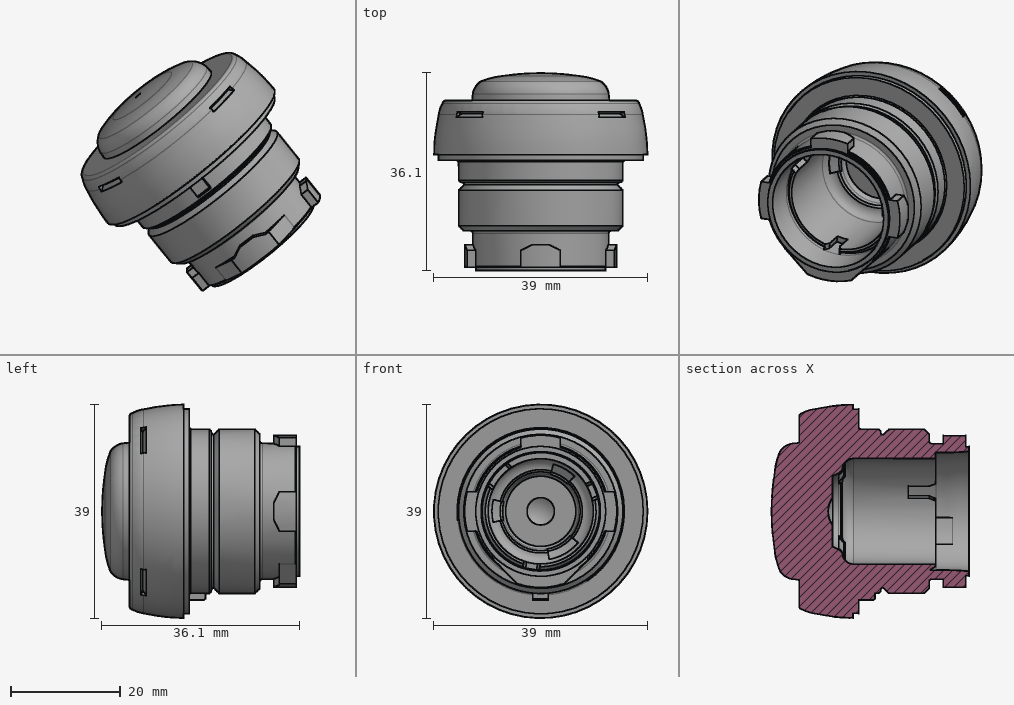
import cadquery as cq
import math


CAP_BASE_R = 12.55
CAP_SIDE_R = 12.42
CAP_SIDE_Y = 12.2
CAP_SHOULDER_R = 10.9
CAP_SHOULDER_Y = 14.45
CAP_BULGE = (11.95, 13.4)
CAP_TOP_Y = 15.95
CAP_CROWN_R = 6.8
CAP_CROWN_Y = 15.45
CAP_CROWN_MIDDLE = (3.4, 15.825)
CAP_SLOPE = (9.0, 15.06)

BEZEL_R = 19.5
BEZEL_BOTTOM_Y = 1.06
BEZEL_TOP_Y = 10.95
BEZEL_TOP_R = 17.25
BEZEL_ROUND_R = 17.95
BEZEL_ROUND_Y = 10.4
BEZEL_ROUND = (17.7, 10.8)
BEZEL_BAND_R = 18.62
BEZEL_BAND_Y = 8.4
BEZEL_FLANK = (19.25, 4.7)
BEZEL_SHOULDER = (18.38, 9.4)
FLANGE_R = 18.7
BEZEL_SLOT_SWEEP = 20.4
BEZEL_SLOT_MOUTH_R = 18.7
BEZEL_SLOT_TOP_Y = 8.94
BEZEL_SLOT_ROOT_Y = 8.5
BEZEL_SLOT_BOTTOM_Y = 7.86
BEZEL_SLOT_ROOT_R = 17.6
BEZEL_SLOT_COUNT = 4

BODY_R = 15.0
SEAT_FILLET = 0.26
UPPER_BAND_Y = -3.6
UPPER_BAND_CHAMFER = 0.4
GROOVE_FILLET = 0.45
GROOVE_R = 14.0
GROOVE_TOP_Y = UPPER_BAND_Y - UPPER_BAND_CHAMFER
GROOVE_BOTTOM_Y = GROOVE_TOP_Y - GROOVE_FILLET
LOWER_BAND_TOP_Y = GROOVE_BOTTOM_Y - (BODY_R - GROOVE_R)
LOWER_BAND_BOTTOM_Y = -11.9
BODY_END_Y = -12.85
BODY_END_R = BODY_R - (LOWER_BAND_BOTTOM_Y - BODY_END_Y)

NECK_R = 12.42
NECK_FILLET = 0.42
NECK_END_Y = -19.5
RIM_CHAMFER = 0.2
RIM_R = 11.85
RIM_END_Y = -20.1

LUG_R = 13.87
LUG_HALF_WIDTH = 3.6
LUG_NOSE_HALF_WIDTH = 1.5
LUG_TOP_Y = -15.35
LUG_SHOULDER_Y = -16.4
LUG_ROOT_R = 11.5
KEY_LUG_FLANK_DISTANCE = 12.37

TAB_WIDTH = 2.82
TAB_REACH_R = 16.2
TAB_LENGTH = 2.95
TAB_CHAMFER = 0.3

MOUTH_R = 10.9
LEDGE_OUTER_R = 10.7
LEDGE_Y = -14.0
BORE_R = 9.6
BOWL_Y = 1.0
BOWL_RADIUS = 2.0
LIP_R = 7.2
THROAT_R = 6.87
FLOOR_R = 6.4
LIP_Y = BOWL_Y + BOWL_RADIUS + 0.3
THROAT_Y = LIP_Y + 0.5
FLOOR_Y = LIP_Y + 1.5
DIMPLE_R = 2.5
DIMPLE_DEPTH = 0.8

LEDGE_SLOTS = ((12, 31), (124, 155), (252, 269))
LEDGE_SLOT_DEPTH = 5.0
LEDGE_SLOT_LEAD_WIDTH = 0.5
LEDGE_SLOT_LEAD_DEPTH = 1.2
RAMP_SECTORS = ((155, 252), (269, 372))
RAMP_TOP_R = 10.1
RAMP_DEPTH = 1.0
MOUTH_RELIEF = (-34, -6)
MOUTH_RELIEF_R = 10.8

BOWL_POCKETS = ((166, 193), (46, 75), (280, 320))
POCKET_INNER_R = 6.9
POCKET_BEND_R = 7.4
POCKET_OUTER_R = 8.9
POCKET_EDGE_Y = BOWL_Y + 1.75
POCKET_FLOOR_Y = BOWL_Y + 2.65


def revolve(profile, start=0, sweep=360):
    """Revolve a closed (radius, y) profile about Y over an angular sector."""
    solid = profile.revolve(sweep, (0, 0, 0), (0, -1, 0))
    return turn(solid, start)


def turn(solid, angle):
    """Turn a solid about Y, from +X towards +Z."""
    return solid.rotate((0, 0, 0), (0, -1, 0), angle)


def ring(r_inner, r_outer, y_low, y_high, start=0, sweep=360):
    """Rectangular-section ring about Y, or a sector of one."""
    profile = cq.Workplane("XY").moveTo(r_inner, y_low).lineTo(r_outer, y_low)
    profile = profile.lineTo(r_outer, y_high).lineTo(r_inner, y_high).close()
    return revolve(profile, start, sweep)


def make_outer_body():
    arc_offset = 1 - math.sqrt(0.5)
    profile = (
        cq.Workplane("XY")
        .moveTo(0, CAP_TOP_Y)
        .threePointArc(CAP_CROWN_MIDDLE, (CAP_CROWN_R, CAP_CROWN_Y))
        .threePointArc(CAP_SLOPE, (CAP_SHOULDER_R, CAP_SHOULDER_Y))
        .threePointArc(CAP_BULGE, (CAP_SIDE_R, CAP_SIDE_Y))
        .lineTo(CAP_BASE_R, BEZEL_TOP_Y)
        .lineTo(BEZEL_TOP_R, BEZEL_TOP_Y)
        .threePointArc(BEZEL_ROUND, (BEZEL_ROUND_R, BEZEL_ROUND_Y))
        .threePointArc(BEZEL_SHOULDER, (BEZEL_BAND_R, BEZEL_BAND_Y))
        .threePointArc(BEZEL_FLANK, (BEZEL_R, BEZEL_BOTTOM_Y))
        .lineTo(FLANGE_R, BEZEL_BOTTOM_Y)
        .lineTo(FLANGE_R, 0)
        .lineTo(BODY_R + SEAT_FILLET, 0)
        .threePointArc(
            (BODY_R + SEAT_FILLET * arc_offset, -SEAT_FILLET * arc_offset),
            (BODY_R, -SEAT_FILLET),
        )
        .lineTo(BODY_R, UPPER_BAND_Y)
        .lineTo(BODY_R - UPPER_BAND_CHAMFER, GROOVE_TOP_Y)
        .lineTo(GROOVE_R + GROOVE_FILLET, GROOVE_TOP_Y)
        .threePointArc(
            (GROOVE_R + GROOVE_FILLET * arc_offset, GROOVE_TOP_Y - GROOVE_FILLET * arc_offset),
            (GROOVE_R, GROOVE_BOTTOM_Y),
        )
        .lineTo(BODY_R, LOWER_BAND_TOP_Y)
        .lineTo(BODY_R, LOWER_BAND_BOTTOM_Y)
        .lineTo(BODY_END_R, BODY_END_Y)
        .lineTo(NECK_R + NECK_FILLET, BODY_END_Y)
        .threePointArc(
            (NECK_R + NECK_FILLET * arc_offset, BODY_END_Y - NECK_FILLET * arc_offset),
            (NECK_R, BODY_END_Y - NECK_FILLET),
        )
        .lineTo(NECK_R, NECK_END_Y + RIM_CHAMFER)
        .lineTo(NECK_R - RIM_CHAMFER, NECK_END_Y)
        .lineTo(RIM_R, NECK_END_Y)
        .lineTo(RIM_R, RIM_END_Y)
        .lineTo(0, RIM_END_Y)
        .close()
    )
    return revolve(profile)


def make_lug():
    """Bayonet lug on the +X side with a tapered nose towards the flange."""
    outline = [
        (-LUG_HALF_WIDTH, NECK_END_Y),
        (LUG_HALF_WIDTH, NECK_END_Y),
        (LUG_HALF_WIDTH, LUG_SHOULDER_Y),
        (LUG_NOSE_HALF_WIDTH, LUG_TOP_Y),
        (-LUG_NOSE_HALF_WIDTH, LUG_TOP_Y),
        (-LUG_HALF_WIDTH, LUG_SHOULDER_Y),
    ]
    prism = cq.Workplane("ZY").polyline(outline).close().extrude(-BODY_R)
    return prism.intersect(ring(LUG_ROOT_R, LUG_R, NECK_END_Y, LUG_TOP_Y))


def make_key_lug_flanks():
    """Wide lower part of the -Z lug, bounded by two 45 degree flanks."""
    apex = KEY_LUG_FLANK_DISTANCE * math.sqrt(2)
    wedge = (
        cq.Workplane("XZ", origin=(0, LUG_SHOULDER_Y, 0))
        .polyline([(apex / 2, -apex / 2), (0, -apex), (-apex / 2, -apex / 2)])
        .close()
        .extrude(LUG_SHOULDER_Y - NECK_END_Y)
    )
    return wedge.intersect(ring(LUG_ROOT_R, LUG_R, NECK_END_Y, LUG_SHOULDER_Y))


def make_tab():
    tab_height = TAB_REACH_R - GROOVE_R
    tab = cq.Workplane("XY").box(TAB_WIDTH, TAB_LENGTH, tab_height)
    tab = tab.faces("<Z").edges("<Y").chamfer(TAB_CHAMFER)
    return tab.translate((0, -TAB_LENGTH / 2, -(GROOVE_R + TAB_REACH_R) / 2))


def make_cavity():
    bowl_r = BORE_R - BOWL_RADIUS
    bowl_mid = BOWL_RADIUS * math.sqrt(0.5)
    profile = (
        cq.Workplane("XY")
        .moveTo(0, RIM_END_Y)
        .lineTo(MOUTH_R, RIM_END_Y)
        .lineTo(LEDGE_OUTER_R, LEDGE_Y)
        .lineTo(BORE_R, LEDGE_Y)
        .lineTo(BORE_R, BOWL_Y)
        .threePointArc((bowl_r + bowl_mid, BOWL_Y + bowl_mid), (bowl_r, BOWL_Y + BOWL_RADIUS))
        .lineTo(LIP_R, LIP_Y)
        .lineTo(THROAT_R, THROAT_Y)
        .lineTo(FLOOR_R, FLOOR_Y)
        .lineTo(0, FLOOR_Y)
        .close()
    )
    return revolve(profile)


def make_dimple():
    """Ball whose outer cap forms the dimple in the cavity floor."""
    sphere_r = (DIMPLE_R**2 + DIMPLE_DEPTH**2) / (2 * DIMPLE_DEPTH)
    return cq.Workplane("XY").sphere(sphere_r).translate((0, FLOOR_Y + DIMPLE_DEPTH - sphere_r, 0))


def make_ramp(start, end):
    """Sloped cut in the ledge, deepest at the mouth wall."""
    profile = (
        cq.Workplane("XY")
        .moveTo(RAMP_TOP_R, LEDGE_Y)
        .lineTo(LEDGE_OUTER_R, LEDGE_Y)
        .lineTo(LEDGE_OUTER_R, LEDGE_Y + RAMP_DEPTH)
        .close()
    )
    return revolve(profile, start, end - start)


def make_ledge_slot(start, end):
    """Deep notch through the ledge whose two ends have a sloped lead-in."""
    mean_r = (BORE_R + LEDGE_OUTER_R) / 2
    mouth_half = mean_r * math.sin(math.radians(end - start) / 2)
    inner_half = mouth_half - LEDGE_SLOT_LEAD_WIDTH
    lead_y = LEDGE_Y + LEDGE_SLOT_LEAD_DEPTH
    floor_y = LEDGE_Y + LEDGE_SLOT_DEPTH
    outline = [
        (-mouth_half, LEDGE_Y),
        (mouth_half, LEDGE_Y),
        (inner_half, lead_y),
        (inner_half, floor_y),
        (-inner_half, floor_y),
        (-inner_half, lead_y),
    ]
    prism = cq.Workplane("ZY").polyline(outline).close().extrude(-BODY_R)
    slot = prism.intersect(ring(BORE_R - 1, LEDGE_OUTER_R, LEDGE_Y, floor_y))
    return turn(slot, (start + end) / 2)


def make_bowl_pocket(start, end):
    """Pocket in the bowl with a sloped outer part and a flat floor."""
    profile = (
        cq.Workplane("XY")
        .moveTo(POCKET_INNER_R, BOWL_Y)
        .lineTo(POCKET_OUTER_R, BOWL_Y)
        .lineTo(POCKET_OUTER_R, POCKET_EDGE_Y)
        .lineTo(POCKET_BEND_R, POCKET_FLOOR_Y)
        .lineTo(POCKET_INNER_R, POCKET_FLOOR_Y)
        .close()
    )
    return revolve(profile, start, end - start)


def make_bezel_slot(centre_angle):
    """Short V groove in the bezel flank."""
    profile = (
        cq.Workplane("XY")
        .moveTo(BEZEL_SLOT_ROOT_R, BEZEL_SLOT_ROOT_Y)
        .lineTo(BEZEL_SLOT_MOUTH_R, BEZEL_SLOT_BOTTOM_Y)
        .lineTo(BEZEL_R, BEZEL_SLOT_BOTTOM_Y)
        .lineTo(BEZEL_R, BEZEL_SLOT_TOP_Y)
        .lineTo(BEZEL_SLOT_MOUTH_R, BEZEL_SLOT_TOP_Y)
        .close()
    )
    return revolve(profile, centre_angle - BEZEL_SLOT_SWEEP / 2, BEZEL_SLOT_SWEEP)


result = make_outer_body()

for lug_angle in (0, 90, 180, 270):
    result = result.union(turn(make_lug(), lug_angle))
result = result.union(make_key_lug_flanks()).union(make_tab())

result = result.cut(make_cavity()).cut(make_dimple())

for slot_start, slot_end in LEDGE_SLOTS:
    result = result.cut(make_ledge_slot(slot_start, slot_end))

for ramp_start, ramp_end in RAMP_SECTORS:
    result = result.cut(make_ramp(ramp_start, ramp_end))

relief_start, relief_end = MOUTH_RELIEF
relief = ring(BORE_R, MOUTH_RELIEF_R, RIM_END_Y, LEDGE_Y, relief_start, relief_end - relief_start)
result = result.cut(relief)

for pocket_start, pocket_end in BOWL_POCKETS:
    result = result.cut(make_bowl_pocket(pocket_start, pocket_end))

for slot_index in range(BEZEL_SLOT_COUNT):
    slot_angle = (slot_index + 0.5) * 360 / BEZEL_SLOT_COUNT
    result = result.cut(make_bezel_slot(slot_angle))